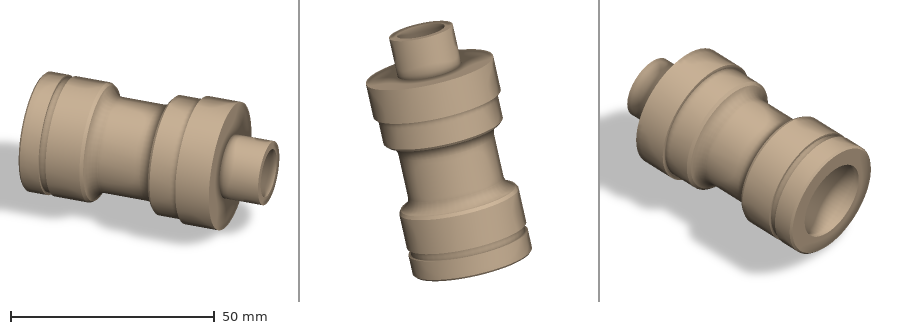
import cadquery as cq
import math

length = 59.85
shank_length = 10.0
flange_width = 8.7
groove_start = 5.3
groove_width = 1.85
waist_start = 19.7
waist_end = 30.55
front_rim = 15.95
rear_rim = 34.15

body_diameter = 30.0
groove_diameter = 28.6
waist_diameter = 24.0
flange_diameter = 32.0
shank_diameter = 16.0

bore_diameter = 20.0
bore_depth = 40.0
hole_diameter = 12.0

end_chamfer = 0.5
front_bevel_depth = 0.5
rear_bevel_depth = 0.7

shank_start = length - shank_length
flange_start = shank_start - flange_width
body_radius = body_diameter / 2
waist_radius = waist_diameter / 2
neck_radius = body_radius - waist_radius


def cylinder(start, end, diameter):
    """Solid cylinder on the X axis between two stations."""
    return cq.Workplane("YZ", origin=(start, 0, 0)).circle(diameter / 2).extrude(end - start)


def tube(start, end, outer_diameter, inner_diameter):
    """Ring on the X axis, used to cut a groove."""
    return cylinder(start, end, outer_diameter).cut(cylinder(start, end, inner_diameter))


def neck_points(waist_x, side, bevel_depth):
    """Points from the waist up a concave neck arc to the inner edge of the rim bevel.

    side is -1 for the neck before the waist and +1 for the neck after it.
    """
    bevel_angle = math.asin(bevel_depth / neck_radius)

    def on_neck(angle):
        x = waist_x + side * neck_radius * math.cos(angle)
        return (x, body_radius - neck_radius * math.sin(angle))

    waist = (waist_x, waist_radius)
    middle = on_neck((math.pi / 2 + bevel_angle) / 2)
    bevel_edge = on_neck(bevel_angle)
    return waist, middle, bevel_edge


def waisted_body():
    """Revolved body with a chamfered end and a waist between two bevelled necks."""
    front_waist, front_middle, front_bevel = neck_points(waist_start, -1, front_bevel_depth)
    rear_waist, rear_middle, rear_bevel = neck_points(waist_end, 1, rear_bevel_depth)
    profile = (
        cq.Workplane("XY")
        .moveTo(0, 0)
        .lineTo(0, body_radius - end_chamfer)
        .lineTo(end_chamfer, body_radius)
        .lineTo(front_rim, body_radius)
        .lineTo(*front_bevel)
        .threePointArc(front_middle, front_waist)
        .lineTo(*rear_waist)
        .threePointArc(rear_middle, rear_bevel)
        .lineTo(rear_rim, body_radius)
        .lineTo(flange_start, body_radius)
        .lineTo(flange_start, 0)
        .close()
    )
    return profile.revolve(360, (0, 0, 0), (1, 0, 0))


flange = cylinder(flange_start, shank_start, flange_diameter)
shank = cylinder(shank_start, length, shank_diameter)
groove = tube(groove_start, groove_start + groove_width, flange_diameter, groove_diameter)
bore = cylinder(0, bore_depth, bore_diameter)
through_hole = cylinder(0, length, hole_diameter)

result = waisted_body().union(flange).union(shank).cut(groove).cut(bore).cut(through_hole)